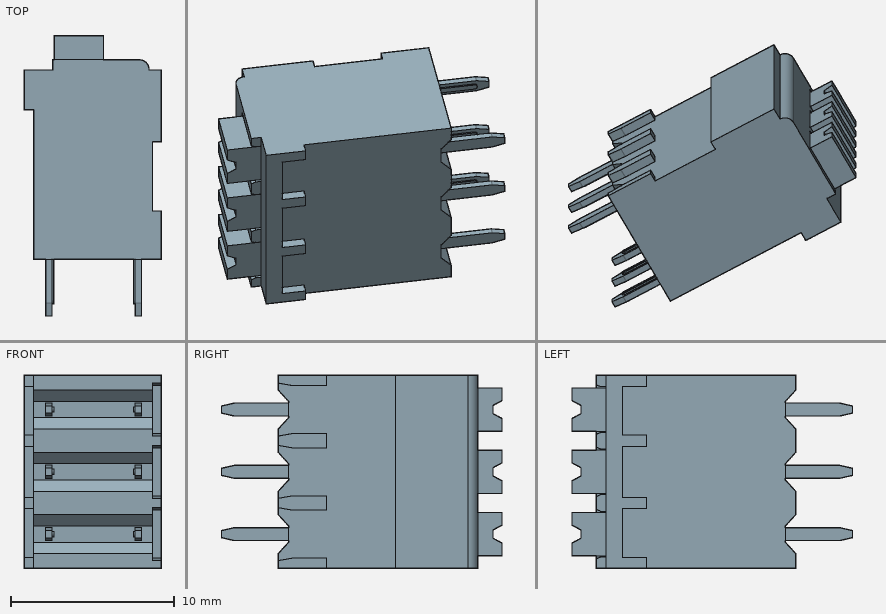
import cadquery as cq
import math

poles = 3
pole_pitch = 3.8
height = 11.82
pole_centers = [height / 2 + (i - (poles - 1) / 2) * pole_pitch for i in range(poles)]
divider_centers = [z - pole_pitch / 2 for z in pole_centers] + [pole_centers[-1] + pole_pitch / 2]

width = 8.4
body_left = 0.58
body_depth = 11.6

rail_depth = 1.0
hook_reach = 2.45
hook_thickness = 0.69

notch_left = 7.85
notch_front = 2.97
notch_back = 7.19
channel_mouth = 3.24
channel_taper_depth = 0.9
channel_taper_angle = 10

groove_depth = 0.63
groove_mouth = 2.38
groove_floor = 1.0

raised_left = 1.75
raised_right = 7.65
raised_height = 0.62
raised_round = 0.6
raised_top = body_depth + raised_height
slot_height = 2.8
slot_lead_in = 0.12
slot_lead_depth = 0.27

button_left = 1.84
button_width = 3.04
button_height = 2.65
button_top = 13.69
button_clearance = 0.09
button_groove_mouth = 1.08
button_groove_floor = 0.5
button_groove_depth = 0.55

pin_width = 0.4
pin_height = 0.8
pin_tip_height = 0.45
pin_tip = -3.46
pin_taper_start = -2.68
pin_lefts = [1.32, 6.79]
pad_height = 0.33
pad_rise = 0.1
pad_front = -2.71
pad_back = 0.41


def box(x0, x1, y0, y1, z0, z1):
    """Axis-aligned block between two corners."""
    return cq.Workplane("XY").box(x1 - x0, y1 - y0, z1 - z0, centered=False).translate((x0, y0, z0))


def side_profile(points, x0, x1):
    """Closed outline of (y, z) points extruded along X."""
    return cq.Workplane("YZ").polyline(points).close().extrude(x1 - x0).translate((x0, 0, 0))


def symmetric_profile(stations, z, x0, x1):
    """Outline symmetric about height z, given as (y, full thickness) stations."""
    lower = [(y, z - thickness / 2) for y, thickness in stations]
    upper = [(y, z + thickness / 2) for y, thickness in reversed(stations)]
    return side_profile(lower + upper, x0, x1)


def make_housing():
    main = box(body_left, width, 0, body_depth, 0, height)
    raised = box(raised_left, raised_right, body_depth, raised_top, 0, height)
    raised = raised.edges("|Z and >X and >Y").fillet(raised_round)
    return main.union(raised)


def make_rail():
    """Rail along the -X face, with a hook at every pole boundary."""
    rail = box(0, body_left, body_depth - rail_depth, body_depth, 0, height)
    for z in divider_centers:
        bottom = min(max(z - hook_thickness / 2, 0), height - hook_thickness)
        top = bottom + hook_thickness
        rail = rail.union(box(0, body_left, body_depth - hook_reach, body_depth, bottom, top))
    return rail


def make_side_notch():
    """Notch through the full height of the +X face."""
    return box(notch_left, width, notch_front, notch_back, 0, height)


def make_channel(z):
    """Channel from the pin side into the notch, narrowing behind a tapered mouth."""
    taper = channel_taper_depth * math.tan(math.radians(channel_taper_angle))
    throat = channel_mouth - 2 * taper
    stations = [(0, channel_mouth), (channel_taper_depth, throat), (notch_front, throat)]
    return symmetric_profile(stations, z, notch_left, width)


def make_slot(z):
    """Slot for a button, open at -X, with a flared mouth."""
    flared = slot_height + 2 * slot_lead_in
    stations = [
        (body_depth, slot_height),
        (raised_top - slot_lead_depth, slot_height),
        (raised_top, flared),
    ]
    slot_right = button_left + button_width + button_clearance
    return symmetric_profile(stations, z, raised_left, slot_right)


def make_groove(z):
    stations = [(0, groove_mouth), (groove_depth, groove_floor)]
    return symmetric_profile(stations, z, body_left, width)


def make_button(z):
    right = button_left + button_width
    half = button_height / 2
    block = box(button_left, right, body_depth, button_top, z - half, z + half)
    stations = [
        (button_top - button_groove_depth, button_groove_floor),
        (button_top, button_groove_mouth),
    ]
    return block.cut(symmetric_profile(stations, z, button_left, right))


def make_pin(left, z):
    """Flat pin with a tapered tip and a round-ended pad on the side facing the other pin."""
    stations = [(pin_tip, pin_tip_height), (pin_taper_start, pin_height), (groove_depth, pin_height)]
    pin = symmetric_profile(stations, z, left, left + pin_width)
    faces_right = left < width / 2
    pad_left = left if faces_right else left - pad_rise
    pad = (
        cq.Workplane("YZ")
        .center((pad_front + pad_back) / 2, z)
        .slot2D(pad_back - pad_front, pad_height)
        .extrude(pin_width + pad_rise)
        .translate((pad_left, 0, 0))
    )
    return pin.union(pad)


result = make_housing().union(make_rail()).cut(make_side_notch())
for pole_z in pole_centers:
    result = result.cut(make_slot(pole_z)).cut(make_groove(pole_z)).cut(make_channel(pole_z))
    result = result.union(make_button(pole_z))
    for pin_left in pin_lefts:
        result = result.union(make_pin(pin_left, pole_z))